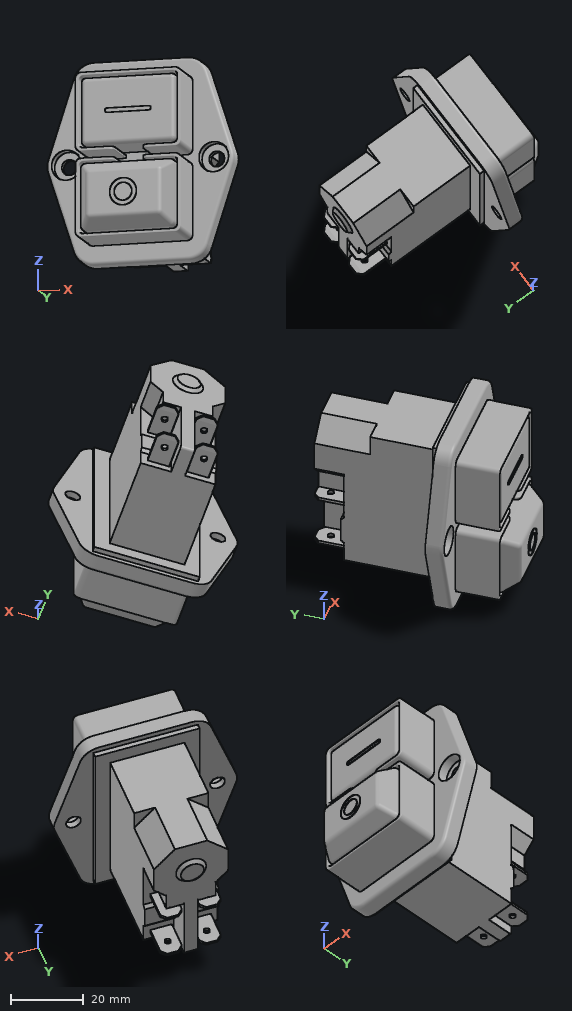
import cadquery as cq
import math


flange_width = 53.4
flange_height = 57.0
flange_thickness = 5.0
flange_corner_radius = 6.0
flange_top_edge = 26.85
flange_front_fillet = 1.0
screw_spacing = 42.0
screw_hole_diameter = 4.3
counterbore_diameter = 8.4
counterbore_depth = 3.0

button_centre_z = 12.05
collar_width = 30.0
collar_height = 22.15
collar_depth = 12.5
collar_wall = 0.95
collar_corner_radius = 1.65
collar_inner_radius = 1.35
collar_rim_fillet = 0.25
slot_width = 8.0
slot_end_radius = 1.65

button_width = 26.9
button_height = 19.0
button_corner_radius = 1.2
flat_button_depth = 12.5
flat_button_front_fillet = 1.35
mark_depth = 0.2
bar_mark_length = 13.05
bar_mark_width = 1.2
raised_button_depth = 17.5
raised_button_slope_start = collar_depth
raised_button_inset = 2.9
raised_button_edge_radius = 1.5
ring_mark_outer_diameter = 7.6
ring_mark_inner_diameter = 5.0

gasket_width = 30.5
gasket_height = 53.55
gasket_thickness = 1.45

body_width = 21.65
body_height = 45.0
body_front = flange_thickness + gasket_thickness
body_back = 42.0
top_chamfer = 6.1
top_chamfer_length = 16.1
rear_boss_diameter = 8.8
rear_boss_height = 1.0

recess_depth = 8.55
recess_top = 7.55
recess_slope = 3.6
block_bottom = -1.45
spine_width = 4.0
spine_corner_radius = 0.8
rib_length = 8.95
rib_height = 0.95
rib_centre_z = -12.1

terminal_thickness = 0.95
terminal_width = 6.3
terminal_outer_edge = 8.85
terminal_heights = (-4.4, -19.55)
terminal_tip_length = 1.5
terminal_tip_side_cut = 1.5
terminal_tip_bevel = 0.1
terminal_hole_diameter = 1.75
terminal_hole_from_tip = 4.2

recess_floor = body_back - recess_depth
switch_back = body_back + rear_boss_height
body_half_width = body_width / 2
body_half_height = body_height / 2


def plane_facing_back(y):
    """Plane at the given Y whose normal is +Y; its local axes are -X and Z."""
    return cq.Workplane(cq.Plane(origin=(0, y, 0), xDir=(-1, 0, 0), normal=(0, 1, 0)))


def plane_facing_front(y):
    """Plane at the given Y whose normal is -Y; its local axes are X and Z."""
    return cq.Workplane("XZ", origin=(0, y, 0))


def block(x_min, x_max, y_min, y_max, z_min, z_max):
    """Box between two opposite corners."""
    size = (x_max - x_min, y_max - y_min, z_max - z_min)
    return cq.Workplane("XY").box(*size, centered=False).translate((x_min, y_min, z_min))


def rounded_bar(width, height, depth, radius, centre_z):
    """Bar with rounded long edges that stands on the flange face and points to -Y."""
    bar = plane_facing_front(0).center(0, centre_z).rect(width, height).extrude(depth)
    return bar.edges("|Y").fillet(radius)


def make_collar(centre_z):
    """Wall around one button, open towards the other button, with a rounded rim."""
    side = math.copysign(1, centre_z)
    collar = rounded_bar(collar_width, collar_height, collar_depth, collar_corner_radius, centre_z)
    inside = rounded_bar(
        collar_width - 2 * collar_wall,
        collar_height - 2 * collar_wall,
        collar_depth,
        collar_inner_radius,
        centre_z,
    )
    inner_wall_z = centre_z - side * (collar_height - collar_wall) / 2
    slot = (
        plane_facing_front(0)
        .center(0, inner_wall_z)
        .rect(slot_width, 2 * collar_wall)
        .extrude(collar_depth)
    )
    collar = collar.cut(inside).cut(slot)
    slot_corner_box = cq.selectors.BoxSelector(
        (-slot_width, -collar_depth - 0.6, inner_wall_z - collar_wall),
        (slot_width, -collar_depth + 0.6, inner_wall_z + collar_wall),
    )
    slot_corners = collar.edges("|Z").edges(slot_corner_box)
    collar = slot_corners.fillet(slot_end_radius)
    return collar.faces("<Y").edges().fillet(collar_rim_fillet)


def make_bezel():
    """Flange with two screw holes and the two button collars."""
    r = flange_corner_radius
    side_x = flange_width / 2 - r
    top_x = flange_top_edge / 2
    top_z = flange_height / 2 - r
    corner_centres = [
        (side_x, 0), (top_x, top_z), (-top_x, top_z),
        (-side_x, 0), (-top_x, -top_z), (top_x, -top_z),
    ]
    bezel = plane_facing_back(0).polyline(corner_centres).close().offset2D(r).extrude(flange_thickness)
    bezel = bezel.faces("<Y").edges().fillet(flange_front_fillet)
    bezel = (
        plane_facing_front(0)
        .add(bezel)
        .pushPoints([(-screw_spacing / 2, 0), (screw_spacing / 2, 0)])
        .cboreHole(screw_hole_diameter, counterbore_diameter, counterbore_depth)
    )
    for centre_z in (button_centre_z, -button_centre_z):
        bezel = bezel.union(make_collar(centre_z))
    return bezel


def make_flat_button():
    """Upper button with a flat front and a bar mark."""
    button = rounded_bar(
        button_width, button_height, flat_button_depth, button_corner_radius, button_centre_z
    )
    button = button.faces("<Y").edges().fillet(flat_button_front_fillet)
    mark = (
        plane_facing_front(mark_depth - flat_button_depth)
        .center(0, button_centre_z)
        .slot2D(bar_mark_length, bar_mark_width)
        .extrude(mark_depth)
    )
    return button.cut(mark)


def make_raised_button():
    """Lower button with sloped sides, rounded edges and a ring mark."""
    base = (
        plane_facing_front(0)
        .center(0, -button_centre_z)
        .rect(button_width, button_height)
        .extrude(raised_button_slope_start)
    )
    top = (
        plane_facing_front(-raised_button_slope_start)
        .center(0, -button_centre_z)
        .rect(button_width, button_height)
        .workplane(offset=raised_button_depth - raised_button_slope_start)
        .rect(button_width - 2 * raised_button_inset, button_height - 2 * raised_button_inset)
        .loft(ruled=True)
    )
    button = base.union(top)
    button = button.edges("not >Y").fillet(raised_button_edge_radius)
    mark = (
        plane_facing_front(mark_depth - raised_button_depth)
        .center(0, -button_centre_z)
        .circle(ring_mark_outer_diameter / 2)
        .circle(ring_mark_inner_diameter / 2)
        .extrude(mark_depth)
    )
    return button.cut(mark)


def make_gasket():
    """Flat sheet between flange and switch body."""
    return plane_facing_back(flange_thickness).rect(gasket_width, gasket_height).extrude(gasket_thickness)


def make_body():
    """Switch body with chamfered top corners, terminal recess, rear boss and rib."""
    front_part = block(
        -body_half_width, body_half_width, body_front, recess_floor, -body_half_height, body_half_height
    )

    block_half_width = body_half_width - recess_slope
    upper_outline = [
        (-body_half_width, body_half_height), (body_half_width, body_half_height),
        (body_half_width, recess_top), (block_half_width, recess_top - recess_slope),
        (block_half_width, block_bottom), (-block_half_width, block_bottom),
        (-block_half_width, recess_top - recess_slope), (-body_half_width, recess_top),
    ]
    upper_part = plane_facing_back(recess_floor).polyline(upper_outline).close().extrude(recess_depth)

    spine = block(
        -spine_width / 2, spine_width / 2, recess_floor, body_back, -body_half_height, block_bottom
    )
    spine = spine.edges("<Z and >Y").fillet(spine_corner_radius)
    body = front_part.union(upper_part).union(spine)

    corner_wedge = [(0, 0), (top_chamfer, 0), (0, -top_chamfer)]
    wedge = (
        cq.Workplane("XZ", origin=(-body_half_width, body_back, body_half_height))
        .polyline(corner_wedge)
        .close()
        .extrude(top_chamfer_length)
    )
    body = body.cut(wedge).cut(wedge.mirror("YZ"))

    boss = (
        plane_facing_back(body_back)
        .center(0, button_centre_z)
        .circle(rear_boss_diameter / 2)
        .extrude(rear_boss_height, taper=45)
    )

    rib_outline = [
        (recess_floor, rib_centre_z - rib_length / 2),
        (recess_floor + rib_height, rib_centre_z - rib_length / 2 + rib_height),
        (recess_floor + rib_height, rib_centre_z + rib_length / 2 - rib_height),
        (recess_floor, rib_centre_z + rib_length / 2),
    ]
    rib = cq.Workplane("YZ").polyline(rib_outline).close().extrude(body_half_width, both=True)
    return body.union(boss).union(rib)


def make_terminal(side, centre_z):
    """Flat tab with a hole and a tip that narrows in width and thickness."""
    length = switch_back - recess_floor
    tab = (
        plane_facing_back(recess_floor)
        .rect(terminal_width, terminal_thickness)
        .extrude(length - terminal_tip_length)
    )
    tip = (
        plane_facing_back(switch_back - terminal_tip_length)
        .rect(terminal_width, terminal_thickness)
        .workplane(offset=terminal_tip_length)
        .rect(terminal_width - 2 * terminal_tip_side_cut, terminal_thickness - 2 * terminal_tip_bevel)
        .loft(ruled=True)
    )
    hole = (
        cq.Workplane("XY")
        .center(0, switch_back - terminal_hole_from_tip)
        .circle(terminal_hole_diameter / 2)
        .extrude(terminal_thickness, both=True)
    )
    centre_x = side * (terminal_outer_edge - terminal_width / 2)
    return tab.union(tip).cut(hole).translate((centre_x, 0, centre_z))


bezel = make_bezel()
flat_button = make_flat_button()
raised_button = make_raised_button()
gasket = make_gasket()
body = make_body()
terminals = [make_terminal(side, z) for side in (-1, 1) for z in terminal_heights]

result = cq.Compound.makeCompound([
    bezel.val(),
    flat_button.val(),
    raised_button.val(),
    gasket.val(),
    body.val(),
    *[terminal.val() for terminal in terminals],
])